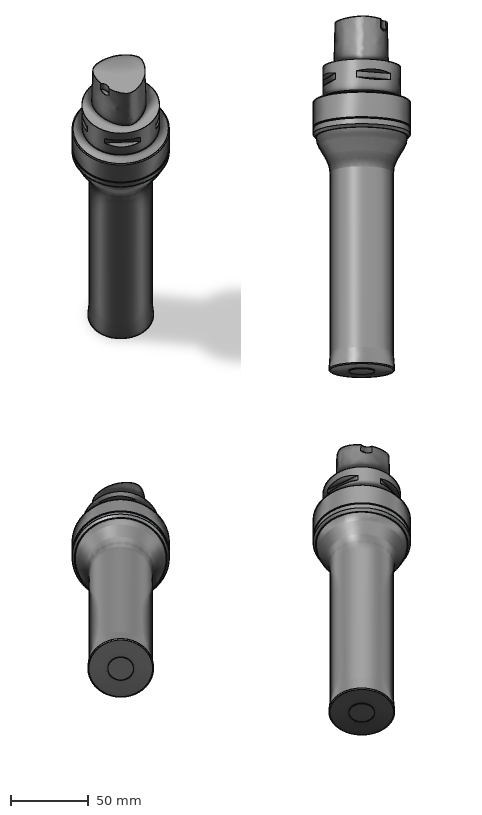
import cadquery as cq
import math

TOTAL_HEIGHT = 230.0
COLLAR_JOINT_Z = 160.3

SHANK_BASE_Z = 200.0
TAPER_START_Z = 203.5
LOBE_MEAN_RADIUS = 17.5
LOBE_RISE = 1.4
TAPER_PER_LENGTH = 1 / 40
LOBE_COUNT = 3
SHANK_CURVE_POINTS = 48

NOTCH_WIDTH = 7.8
NOTCH_DEPTH = 1.5
NOTCH_LENGTH = 7.1

FLANGE_RADIUS = 50.0 / 2
FLANGE_NECK_RADIUS = 24.5
FLANGE_NECK_Z = 179.9
COLLAR_RADIUS = 62.5 / 2
COLLAR_TOP_Z = 179.0
COLLAR_TOP_EDGE_RADIUS = 30.5
COLLAR_EDGE_TOP_Z = 177.5
COLLAR_SIDE_TOP_Z = 176.9
JOINT_CHAMFER = 0.5

SLOT_COUNT = 4
SLOT_Z = 190.5
SLOT_FLOOR_DISTANCE = 22.0
SLOT_FLOOR_HEIGHT = 4.0
SLOT_MOUTH_HEIGHT = 6.7
SLOT_LENGTH = 27.5

COLLAR_SIDE_BOTTOM_Z = 156.2
COLLAR_BOTTOM_Z = 154.3
COLLAR_BOTTOM_RADIUS = 59.5 / 2
CONE_TOP_RADIUS = 29.2
CONE_SHOULDER_Z = 150.9
CONE_FOOT_Z = 135.7
CONE_SHOULDER_ROUND = 11.5
CONE_FOOT_ROUND = 19.5
BAR_RADIUS = 40.7 / 2
FLARE_TOP_Z = 11.5
FLARE_RADIUS = 21.2
FLARE_CHAMFER = 0.7
END_FACE_Z = 0.7
SPIGOT_RADIUS = 8.3
EDGE_BAND = 0.2


def lobe_wire(mean_radius, z):
    """Closed smooth outline whose distance to its tangents varies three times a turn, one lobe on +Y."""
    points = []
    for step in range(SHANK_CURVE_POINTS):
        angle = 2 * math.pi * step / SHANK_CURVE_POINTS
        phase = LOBE_COUNT * (angle - math.pi / 2)
        reach = mean_radius + LOBE_RISE * math.cos(phase)
        slide = -LOBE_COUNT * LOBE_RISE * math.sin(phase)
        x = reach * math.cos(angle) - slide * math.sin(angle)
        y = reach * math.sin(angle) + slide * math.cos(angle)
        points.append(cq.Vector(x, y, z))
    return cq.Wire.assembleEdges([cq.Edge.makeSpline(points, periodic=True)])


def shank_top_radius():
    return LOBE_MEAN_RADIUS - (TOTAL_HEIGHT - TAPER_START_Z) * TAPER_PER_LENGTH


def make_shank():
    base = lobe_wire(LOBE_MEAN_RADIUS, SHANK_BASE_Z)
    taper_start = lobe_wire(LOBE_MEAN_RADIUS, TAPER_START_Z)
    top = lobe_wire(shank_top_radius(), TOTAL_HEIGHT)
    foot = cq.Workplane(cq.Solid.makeLoft([base, taper_start], True))
    taper = cq.Workplane(cq.Solid.makeLoft([taper_start, top], True))
    return foot.union(taper)


def make_notch():
    """Vertical round cutter with a 45 degree point, its axis standing outside the flat."""
    half_width = NOTCH_WIDTH / 2
    radius = (half_width ** 2 + NOTCH_DEPTH ** 2) / (2 * NOTCH_DEPTH)
    flat_y = LOBE_RISE - shank_top_radius()
    axis_y = flat_y + NOTCH_DEPTH - radius
    straight_end_z = TOTAL_HEIGHT - NOTCH_LENGTH + NOTCH_DEPTH
    cutter_profile = (
        cq.Workplane("XZ")
        .moveTo(0, straight_end_z - radius)
        .lineTo(radius, straight_end_z)
        .lineTo(radius, TOTAL_HEIGHT)
        .lineTo(0, TOTAL_HEIGHT)
        .close()
    )
    return cutter_profile.revolve().translate((0, axis_y, 0))


def make_gripper_slot(angle):
    """Straight slot across the flange, widening outward from a flat floor."""
    floor_half = SLOT_FLOOR_HEIGHT / 2
    mouth_half = SLOT_MOUTH_HEIGHT / 2
    return (
        cq.Workplane("XZ")
        .polyline([
            (SLOT_FLOOR_DISTANCE, SLOT_Z - floor_half),
            (FLANGE_RADIUS, SLOT_Z - mouth_half),
            (FLANGE_RADIUS, SLOT_Z + mouth_half),
            (SLOT_FLOOR_DISTANCE, SLOT_Z + floor_half),
        ])
        .close()
        .extrude(SLOT_LENGTH / 2, both=True)
        .rotate((0, 0, 0), (0, 0, 1), angle)
    )


def revolve_profile(points):
    """Turn (radius, z) points about the Z axis."""
    return cq.Workplane("XZ").polyline(points).close().revolve()


def make_adapter():
    adapter = revolve_profile([
        (0, SHANK_BASE_Z),
        (FLANGE_RADIUS, SHANK_BASE_Z),
        (FLANGE_RADIUS, FLANGE_NECK_Z),
        (FLANGE_NECK_RADIUS, COLLAR_TOP_Z),
        (COLLAR_TOP_EDGE_RADIUS, COLLAR_EDGE_TOP_Z),
        (COLLAR_RADIUS, COLLAR_SIDE_TOP_Z),
        (COLLAR_RADIUS, COLLAR_JOINT_Z + JOINT_CHAMFER),
        (COLLAR_RADIUS - JOINT_CHAMFER, COLLAR_JOINT_Z),
        (0, COLLAR_JOINT_Z),
    ])
    for index in range(SLOT_COUNT):
        angle = (index + 0.5) * 360 / SLOT_COUNT
        adapter = adapter.cut(make_gripper_slot(angle))
    return adapter.union(make_shank()).cut(make_notch())


def round_circle(body, z, radius):
    """Round the circular edge at height z."""
    edge = cq.selectors.BoxSelector(
        (-COLLAR_RADIUS, -COLLAR_RADIUS, z - EDGE_BAND),
        (COLLAR_RADIUS, COLLAR_RADIUS, z + EDGE_BAND),
    )
    return body.edges("%CIRCLE").edges(edge).fillet(radius)


def make_bar():
    bar = revolve_profile([
        (0, COLLAR_JOINT_Z),
        (COLLAR_RADIUS - JOINT_CHAMFER, COLLAR_JOINT_Z),
        (COLLAR_RADIUS, COLLAR_JOINT_Z - JOINT_CHAMFER),
        (COLLAR_RADIUS, COLLAR_SIDE_BOTTOM_Z),
        (COLLAR_BOTTOM_RADIUS, COLLAR_BOTTOM_Z),
        (CONE_TOP_RADIUS, COLLAR_BOTTOM_Z),
        (CONE_TOP_RADIUS, CONE_SHOULDER_Z),
        (BAR_RADIUS, CONE_FOOT_Z),
        (BAR_RADIUS, FLARE_TOP_Z),
        (FLARE_RADIUS, END_FACE_Z + FLARE_CHAMFER),
        (FLARE_RADIUS - FLARE_CHAMFER, END_FACE_Z),
        (SPIGOT_RADIUS, END_FACE_Z),
        (SPIGOT_RADIUS, 0),
        (0, 0),
    ])
    bar = round_circle(bar, CONE_SHOULDER_Z, CONE_SHOULDER_ROUND)
    return round_circle(bar, CONE_FOOT_Z, CONE_FOOT_ROUND)


adapter = make_adapter()
bar = make_bar()
result = cq.Compound.makeCompound([adapter.val(), bar.val()])